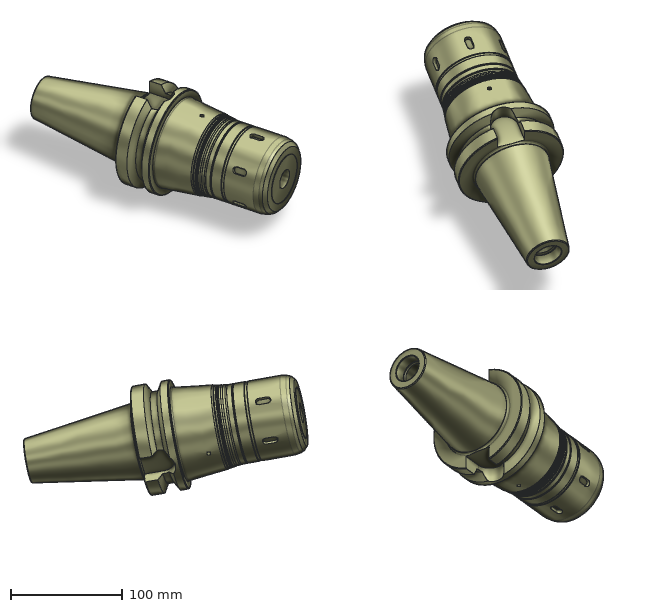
import cadquery as cq
import math


total_length = 251.8
shank_small_radius = 40.5 / 2
shank_length = 101.7
shank_slope = 7 / 48
shank_large_radius = shank_small_radius + shank_length * shank_slope
shank_chamfer = 0.8
neck_radius = 69.0 / 2
neck_edge = 0.8
neck_fillet = 2.0

flange_radius = 100.0 / 2
flange_start = 104.7
flange_end = 139.7
flange_chamfer = 0.8
vee_start = 116.8
vee_end = 132.2
vee_floor_radius = 42.0
vee_wall_angle = math.radians(30)
vee_wall_run = (flange_radius - vee_floor_radius) * math.tan(vee_wall_angle)

collar_radius = 43.3
body_start = 141.3
body_start_radius = 42.8
body_end = 176.8
body_end_radius = 38.8

cone_start_radius = 38.5
cone_end = 190.5

nut_radius = 73.0 / 2
nose_start = 239.7
nose_middle = 245.0
nose_middle_radius = 35.5
nose_bevel_start = 248.0
nose_bevel_radius = 34.2
nose_face = 251.3
nose_face_radius = 30.7
lip_radius = 23.5

cone_ring_depth = 0.3
cone_rings = [(178.3, 179.0), (180.5, 181.5), (182.3, 183.3), (185.0, 186.8), (189.0, cone_end)]
nut_ring_radius = 72.0 / 2
nut_rings = [(195.1, 196.7), (206.5, 209.5)]
nut_ring_bevel = 0.5

key_width = 25.7
key_floor = 35.3
key_end = 135.7

wrench_count = 6
wrench_center = 223.0
wrench_length = 13.8
wrench_width = 6.3
wrench_depth = 3.8

mouth_chamfer = 0.5
counterbore_radius = 25.5 / 2
counterbore_depth = 10.5
thread_mouth_radius = 24.0 / 2
thread_radius = 21.5 / 2
thread_depth = 50.4
bore_radius = 18.0 / 2
cross_hole_diameter = 3.5
cross_hole_center = 166.5


def revolve_about_axis(points):
    """Revolve a closed (x, radius) outline about the X axis."""
    return cq.Workplane("XY").polyline(points).close().revolve(360, (0, 0, 0), (1, 0, 0))


def cone_radius_at(x):
    """Outer radius of the ringed cone at x."""
    slope = (cone_start_radius - nut_radius) / (cone_end - body_end)
    return cone_start_radius - (x - body_end) * slope


def make_outer_body():
    return revolve_about_axis([
        (0, 0),
        (0, shank_small_radius - shank_chamfer),
        (shank_chamfer, shank_small_radius + shank_chamfer * shank_slope),
        (shank_length, shank_large_radius),
        (shank_length + neck_edge, neck_radius),
        (flange_start, neck_radius),
        (flange_start, flange_radius - flange_chamfer),
        (flange_start + flange_chamfer, flange_radius),
        (vee_start, flange_radius),
        (vee_start + vee_wall_run, vee_floor_radius),
        (vee_end - vee_wall_run, vee_floor_radius),
        (vee_end, flange_radius),
        (flange_end - flange_chamfer, flange_radius),
        (flange_end, flange_radius - flange_chamfer),
        (flange_end, collar_radius),
        (body_start, body_start_radius),
        (body_end, body_end_radius),
        (body_end, cone_start_radius),
        (cone_end, nut_radius),
        (nose_start, nut_radius),
        (nose_middle, nose_middle_radius),
        (nose_bevel_start, nose_bevel_radius),
        (nose_face, nose_face_radius),
        (nose_face, lip_radius),
        (total_length, lip_radius),
        (total_length, 0),
    ])


def cut_cone_ring(part, start, end):
    """Cut a shallow ring groove that follows the slope of the ringed cone."""
    return part.cut(revolve_about_axis([
        (start, cone_radius_at(start) - cone_ring_depth),
        (start, flange_radius),
        (end, flange_radius),
        (end, cone_radius_at(end) - cone_ring_depth),
    ]))


def cut_nut_ring(part, start, end):
    """Cut a ring groove with sloped walls into the cylinder of the nut."""
    return part.cut(revolve_about_axis([
        (start + nut_ring_bevel, nut_ring_radius),
        (start, nut_radius),
        (start, flange_radius),
        (end, flange_radius),
        (end, nut_radius),
        (end - nut_ring_bevel, nut_ring_radius),
    ]))


def make_neck_fillet():
    """Ring with a concave quarter round between the neck and the flange face."""
    fillet_start = flange_start - neck_fillet
    fillet_top = neck_radius + neck_fillet
    arc_middle_offset = neck_fillet * math.sqrt(0.5)
    return (
        cq.Workplane("XY")
        .moveTo(flange_start, neck_radius)
        .lineTo(flange_start, fillet_top)
        .threePointArc(
            (fillet_start + arc_middle_offset, fillet_top - arc_middle_offset),
            (fillet_start, neck_radius),
        )
        .close()
        .revolve(360, (0, 0, 0), (1, 0, 0))
    )


def make_key_slot():
    """Round-ended slot on the +Z side, open towards the shank."""
    half_width = key_width / 2
    arc_center = key_end - half_width
    return (
        cq.Workplane("XY")
        .workplane(offset=key_floor)
        .moveTo(shank_length, -half_width)
        .lineTo(arc_center, -half_width)
        .threePointArc((key_end, 0), (arc_center, half_width))
        .lineTo(shank_length, half_width)
        .close()
        .extrude(flange_radius)
    )


def make_wrench_slot():
    """Flat-floored slot on the +Z side of the nut."""
    return (
        cq.Workplane("XY")
        .workplane(offset=nut_radius - wrench_depth)
        .center(wrench_center, 0)
        .slot2D(wrench_length, wrench_width)
        .extrude(2 * wrench_depth)
    )


def make_bore():
    thread_chamfer = thread_mouth_radius - thread_radius
    thread_end = counterbore_depth + thread_depth
    return revolve_about_axis([
        (0, 0),
        (0, counterbore_radius + mouth_chamfer),
        (mouth_chamfer, counterbore_radius),
        (counterbore_depth, counterbore_radius),
        (counterbore_depth, thread_mouth_radius),
        (counterbore_depth + thread_chamfer, thread_radius),
        (thread_end, thread_radius),
        (thread_end, bore_radius),
        (total_length, bore_radius),
        (total_length, 0),
    ])


def make_cross_hole():
    return (
        cq.Workplane("XY")
        .center(cross_hole_center, 0)
        .circle(cross_hole_diameter / 2)
        .extrude(flange_radius, both=True)
    )


result = make_outer_body().union(make_neck_fillet())
for ring_start, ring_end in cone_rings:
    result = cut_cone_ring(result, ring_start, ring_end)
for ring_start, ring_end in nut_rings:
    result = cut_nut_ring(result, ring_start, ring_end)
for angle in (0, 180):
    result = result.cut(make_key_slot().rotate((0, 0, 0), (1, 0, 0), angle))
for index in range(wrench_count):
    angle = index * 360 / wrench_count
    result = result.cut(make_wrench_slot().rotate((0, 0, 0), (1, 0, 0), angle))
result = result.cut(make_bore()).cut(make_cross_hole())